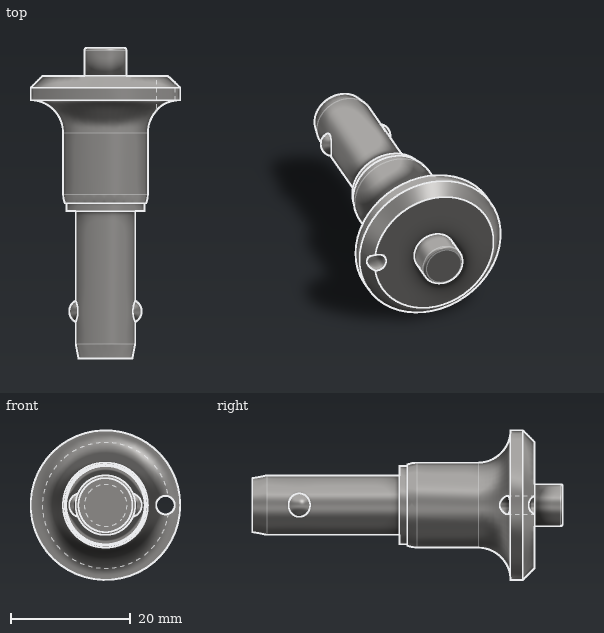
import cadquery as cq
import math


shank_radius = 5.0
shank_length = 24.6
tip_radius = 4.5
tip_taper_length = 2.45

collar_radius = 6.55
collar_length = 1.3
sleeve_radius = 7.1
sleeve_end_radius = 6.8
sleeve_rounding_length = 1.55
sleeve_length = 10.3

head_radius = 12.5
rim_length = 2.1
head_chamfer = 1.95
flare_radius = head_radius - sleeve_radius

hole_radius = 1.53
hole_offset = 10.0

button_radius = 3.55
button_fillet = 0.45
overall_length = 51.9

ball_radius = 2.0
ball_reach = 6.05
ball_to_tip = 7.9

tip_y = -shank_length
sleeve_end_y = collar_length
sleeve_cylinder_y = sleeve_end_y + sleeve_rounding_length
flare_start_y = sleeve_cylinder_y + sleeve_length
rim_y = flare_start_y + flare_radius
chamfer_y = rim_y + rim_length
head_top_y = chamfer_y + head_chamfer
button_top_y = tip_y + overall_length


def arc_middle(center, radius, degrees):
    """Point on a circle at the given angle."""
    angle = math.radians(degrees)
    return (center[0] + radius * math.cos(angle), center[1] + radius * math.sin(angle))


def make_body():
    """Revolve the half profile (radius, y) of shank, sleeve, head and button."""
    flare_middle = arc_middle((head_radius, flare_start_y), flare_radius, 135)
    button_middle = arc_middle(
        (button_radius - button_fillet, button_top_y - button_fillet), button_fillet, 45
    )
    step = sleeve_radius - sleeve_end_radius
    rounding_radius = (sleeve_rounding_length**2 + step**2) / (2 * step)
    rounding_center = (sleeve_radius - rounding_radius, sleeve_cylinder_y)
    rounding_angle = math.degrees(math.asin(sleeve_rounding_length / rounding_radius))
    rounding_middle = arc_middle(rounding_center, rounding_radius, -rounding_angle / 2)
    profile = (
        cq.Workplane("XY")
        .moveTo(0, tip_y)
        .lineTo(tip_radius, tip_y)
        .lineTo(shank_radius, tip_y + tip_taper_length)
        .lineTo(shank_radius, 0)
        .lineTo(collar_radius, 0)
        .lineTo(collar_radius, sleeve_end_y)
        .lineTo(sleeve_end_radius, sleeve_end_y)
        .threePointArc(rounding_middle, (sleeve_radius, sleeve_cylinder_y))
        .lineTo(sleeve_radius, flare_start_y)
        .threePointArc(flare_middle, (head_radius, rim_y))
        .lineTo(head_radius, chamfer_y)
        .lineTo(head_radius - head_chamfer, head_top_y)
        .lineTo(button_radius, head_top_y)
        .lineTo(button_radius, button_top_y - button_fillet)
        .threePointArc(button_middle, (button_radius - button_fillet, button_top_y))
        .lineTo(0, button_top_y)
        .close()
    )
    return profile.revolve(360, (0, 0, 0), (0, 1, 0))


def make_ball(side):
    """Locking ball on the +X (side = 1) or -X (side = -1) flank of the shank."""
    center = (side * (ball_reach - ball_radius), tip_y + ball_to_tip, 0)
    return cq.Workplane("XY").sphere(ball_radius).translate(center)


def make_lanyard_hole():
    """Cutter parallel to the axis, from the shoulder to above the head."""
    return cq.Workplane("XZ").center(hole_offset, 0).circle(hole_radius).extrude(-button_top_y)


result = make_body()
for side in (-1, 1):
    result = result.union(make_ball(side))
result = result.cut(make_lanyard_hole())